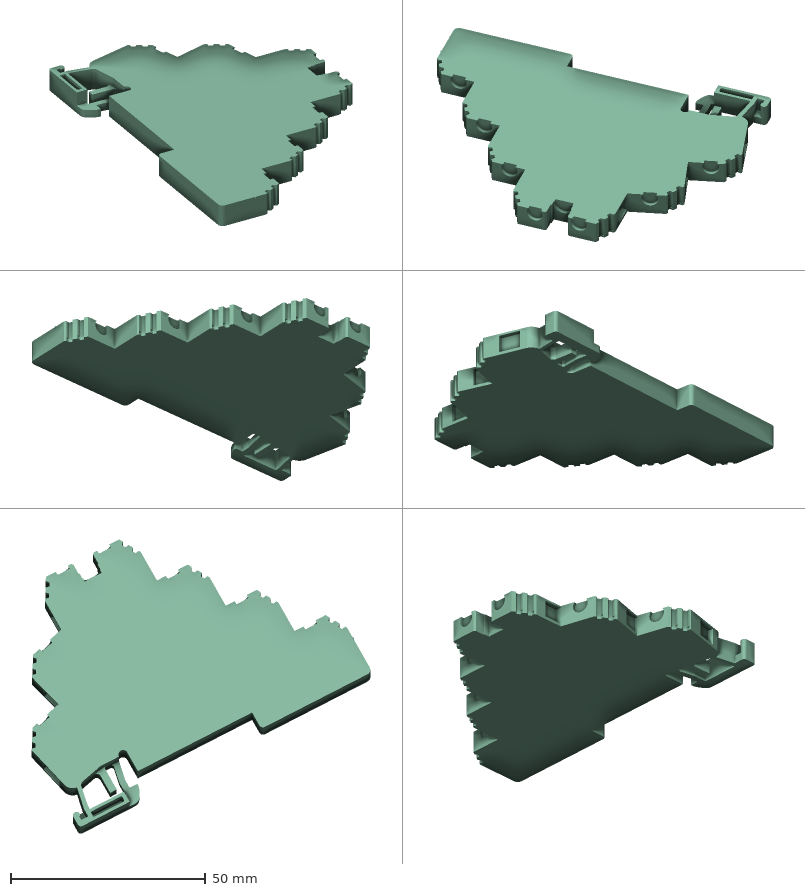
import cadquery as cq
import math

THICKNESS = 6.0
HEIGHT = 63.9
CENTER_X = 36.2
TOWER_HALF_WIDTH = 14.0
STEP_RUN = 12.3
STEP_DROP = 14.4
STEP_COUNT = 3
RIGHT_WALL = CENTER_X + TOWER_HALF_WIDTH + STEP_RUN * STEP_COUNT

SLOPE_ANGLE = math.radians(60)
SLOPE_LENGTH = 6.6
SLOPE_FIRST_LAND = 1.1
TILTED_SLOPE_LENGTH = 6.1
UPPER_FIRST_LAND = 0.6
LOWER_FIRST_LAND = 0.9
NOTCH_COUNT = 2
NOTCH_PITCH = 3.1
NOTCH_MOUTH = 1.75
NOTCH_FLOOR = 1.05
NOTCH_DEPTH = 1.0
UNDERCUT_BOTTOM = 0.5
UNDERCUT_HEIGHT = 0.6

TILT = math.radians(15)
UPPER_TOP_LENGTH = 10.1
UPPER_WALL_LENGTH = 9.9
BODY_LOW_CORNER = (3.0, 11.9)
BODY_LOW_ROUNDING = (3.85, 10.6)

PRONG_SLOT_HALF_TOP = 2.9
PRONG_SLOT_HALF_BOTTOM = 2.6
PRONG_SLOT_STEP_Y = 60.55
PRONG_SLOT_FLOOR_Y = 59.0
PRONG_CHAMFER = 0.4

BASE_Y = 1.3
BASE_LEFT = 54.8
BASE_RIGHT_RADIUS = 1.4
BASE_LEFT_RADIUS = 1.05
RAIL_Y = 6.3
RELIEF_LEFT = 19.0
RELIEF_RIGHT = 21.35
RELIEF_RADIUS = (RELIEF_RIGHT - RELIEF_LEFT) / 2
RELIEF_TOP = 13.3
CLIP_ROOF_Y = 12.1
CLIP_ROOF_LEFT = 13.6
NUB_Y = 11.7
NUB_RADIUS = 0.3
NUB_HEIGHT = 0.5

FOOT_LEFT = 0.9
FOOT_TOP = 4.2
FOOT_BEAM_TOP = 3.15
FOOT_RADIUS = 0.9
FOOT_STEP_X = 15.6
LOW_HEIGHT = 2.2
LEG_LEFT = 4.4
LEG_RIGHT = 5.6
LEG_ROOT_LEFT = 5.5
LEG_ROOT_RIGHT = 6.65
LEG_ROOT_Y = 9.9
LEG_ROOT_BEVEL = (7.2, 10.5)
CATCH_LEFT = 2.3
CATCH_RIGHT = 4.3
CATCH_BOTTOM = 1.6
CATCH_LIP_START = 1.9
CATCH_LIP_TIP = (2.6, 3.7)
CATCH_LIP_END_Y = 2.6
HOOK_TOE_X = 17.2
HOOK_TOE_ARC = (18.0, 0.2)
HOOK_KNEE = (18.6, 0.6)
HOOK_BACK_ARC = (19.5, 1.9)
HOOK_RIGHT = 20.2
HOOK_SIDE_Y = 3.7
HOOK_TOP = 4.5
SPRING_LEFT = 16.3
SPRING_RIGHT = 17.9
SPRING_BEND_Y = 6.8
SPRING_ROOT_X = 16.8
SPRING_ROOT_BEVEL = (17.15, 11.55)
POST_HEIGHT = 3.5
POST_LEFT = 12.7
POST_RIGHT = 14.6
POST_BOTTOM = 5.25
POST_FILLET = 0.6
POST_ROOT = (11.55, 11.6)
POST_FLARE_Y = 10.5
POST_FLARE_RADIUS = 1.3
FOOT_SLOT_LEFT = 5.4
FOOT_SLOT_RIGHT = 14.5
FOOT_SLOT_BOTTOM = 0.8
FOOT_SLOT_TOP = 2.4
FOOT_SLOT_RADIUS = 0.4

SCREW_RADIUS = 2.2
SCREW_CENTER_Z = 4.7
SCREW_DEPTH = 1.0
SCREW_FROM_WALL = 8.0
TILTED_SCREW_FROM_CORNER = 5.9
SLOT_RECESS_RADIUS = 2.5
SLOT_RECESS_CENTER_Z = 5.4
POCKET_BOTTOM = 0.8
POCKET_HEIGHT = 4.7
POCKET_LENGTH = 5.4
LOWER_POCKET_LENGTH = 6.1
POCKET_DEPTH = 1.5
POCKET_DROP = 3.2
TILTED_POCKET_DROP = 4.55
UPPER_POCKET_FLOOR_X = 12.7


def moved(point, angle, distance):
    """Point reached from another one along a direction in the XY plane."""
    return (point[0] + distance * math.cos(angle), point[1] + distance * math.sin(angle))


def slope_point(start, side, along, depth):
    """Point on a slope falling to the left (side -1) or to the right (side 1)."""
    run = along * math.cos(SLOPE_ANGLE) - depth * math.sin(SLOPE_ANGLE)
    drop = along * math.sin(SLOPE_ANGLE) + depth * math.cos(SLOPE_ANGLE)
    return (start[0] + side * run, start[1] - drop)


def toothed_slope(start, side, first_land, length):
    """Outline points of a slope with its notches, from the top down."""
    points = [start]
    inset = (NOTCH_MOUTH - NOTCH_FLOOR) / 2
    for i in range(NOTCH_COUNT):
        near = first_land + i * NOTCH_PITCH
        far = near + NOTCH_MOUTH
        points.append(slope_point(start, side, near, 0))
        points.append(slope_point(start, side, near + inset, NOTCH_DEPTH))
        points.append(slope_point(start, side, far - inset, NOTCH_DEPTH))
        points.append(slope_point(start, side, far, 0))
    points.append(slope_point(start, side, length, 0))
    return points


def prism(points, height, bottom):
    return cq.Workplane("XY").workplane(offset=bottom).polyline(points).close().extrude(height)


def box(x0, x1, y0, y1, z0, z1):
    return cq.Workplane("XY").box(x1 - x0, y1 - y0, z1 - z0, centered=False).translate((x0, y0, z0))


slope_run = SLOPE_LENGTH * math.cos(SLOPE_ANGLE)
left_slope = (
    (CENTER_X - TOWER_HALF_WIDTH + slope_run, HEIGHT), -1, SLOPE_FIRST_LAND, SLOPE_LENGTH)
right_slopes = []
for step in range(STEP_COUNT + 1):
    wall_x = CENTER_X + TOWER_HALF_WIDTH + step * STEP_RUN
    slope_start = (wall_x - slope_run, HEIGHT - step * STEP_DROP)
    right_slopes.append((slope_start, 1, SLOPE_FIRST_LAND, SLOPE_LENGTH))

upper_corner = (CENTER_X - TOWER_HALF_WIDTH, HEIGHT - STEP_DROP)
upper_start = moved(upper_corner, math.pi + TILT, UPPER_TOP_LENGTH)
upper_end = slope_point(upper_start, -1, TILTED_SLOPE_LENGTH, 0)

lower_corner = moved(upper_end, TILT - math.pi / 2, UPPER_WALL_LENGTH)
lower_start_x = TILTED_SLOPE_LENGTH * math.cos(SLOPE_ANGLE)
lower_top_length = (lower_corner[0] - lower_start_x) / math.cos(TILT)
lower_start = moved(lower_corner, math.pi + TILT, lower_top_length)
lower_end = slope_point(lower_start, -1, TILTED_SLOPE_LENGTH, 0)
lower_wall_tilt = math.atan2(BODY_LOW_CORNER[0] - lower_end[0], lower_end[1] - BODY_LOW_CORNER[1])

tilted_corners = [upper_corner, lower_corner]
tilted_slopes = [
    (upper_start, -1, UPPER_FIRST_LAND, TILTED_SLOPE_LENGTH),
    (lower_start, -1, LOWER_FIRST_LAND, TILTED_SLOPE_LENGTH),
]


def make_body():
    left = []
    for tier_corner, slope in zip(tilted_corners, tilted_slopes):
        left.append(tier_corner)
        left += toothed_slope(*slope)
    tower_left = toothed_slope(*left_slope)
    outline = left[::-1] + tower_left[::-1]

    left_half = [
        (PRONG_SLOT_HALF_TOP + PRONG_CHAMFER, HEIGHT),
        (PRONG_SLOT_HALF_TOP, HEIGHT - PRONG_CHAMFER),
        (PRONG_SLOT_HALF_TOP, PRONG_SLOT_STEP_Y),
        (PRONG_SLOT_HALF_BOTTOM, PRONG_SLOT_STEP_Y),
        (PRONG_SLOT_HALF_BOTTOM, PRONG_SLOT_FLOOR_Y),
    ]
    outline += [(CENTER_X - x, y) for x, y in left_half]
    outline += [(CENTER_X + x, y) for x, y in left_half[::-1]]

    for start, side, land, length in right_slopes:
        if start[1] < HEIGHT:
            outline.append((start[0] + slope_run - STEP_RUN, start[1]))
        outline += toothed_slope(start, side, land, length)

    return (
        cq.Workplane("XY").polyline(outline)
        .lineTo(RIGHT_WALL, BASE_Y + BASE_RIGHT_RADIUS)
        .radiusArc((RIGHT_WALL - BASE_RIGHT_RADIUS, BASE_Y), BASE_RIGHT_RADIUS)
        .lineTo(BASE_LEFT + BASE_LEFT_RADIUS, BASE_Y)
        .radiusArc((BASE_LEFT, BASE_Y + BASE_LEFT_RADIUS), BASE_LEFT_RADIUS)
        .lineTo(BASE_LEFT, RAIL_Y)
        .lineTo(RELIEF_RIGHT, RAIL_Y)
        .lineTo(RELIEF_RIGHT, RELIEF_TOP - RELIEF_RADIUS)
        .threePointArc(((RELIEF_LEFT + RELIEF_RIGHT) / 2, RELIEF_TOP),
                       (RELIEF_LEFT, RELIEF_TOP - RELIEF_RADIUS))
        .lineTo(RELIEF_LEFT, CLIP_ROOF_Y)
        .lineTo(CLIP_ROOF_LEFT, CLIP_ROOF_Y)
        .lineTo(*LEG_ROOT_BEVEL)
        .lineTo(LEG_ROOT_RIGHT, LEG_ROOT_Y)
        .lineTo(LEG_ROOT_LEFT, LEG_ROOT_Y)
        .threePointArc(BODY_LOW_ROUNDING, BODY_LOW_CORNER)
        .close().extrude(THICKNESS)
    )


def make_undercuts():
    """Pockets that square off the lower flank of each notch over a short height."""
    cuts = []
    inset = (NOTCH_MOUTH - NOTCH_FLOOR) / 2
    for start, side, land, _ in [left_slope] + right_slopes + tilted_slopes:
        for i in range(NOTCH_COUNT):
            far = land + i * NOTCH_PITCH + NOTCH_MOUTH
            flank = [
                slope_point(start, side, far, 0),
                slope_point(start, side, far, NOTCH_DEPTH),
                slope_point(start, side, far - inset, NOTCH_DEPTH),
            ]
            cuts.append(prism(flank, UNDERCUT_HEIGHT, UNDERCUT_BOTTOM))
    return cuts


def make_foot():
    beam = (
        cq.Workplane("XY").moveTo(FOOT_LEFT + FOOT_RADIUS, 0)
        .lineTo(FOOT_STEP_X, 0)
        .lineTo(FOOT_STEP_X, FOOT_BEAM_TOP)
        .lineTo(LEG_RIGHT, FOOT_BEAM_TOP)
        .lineTo(LEG_RIGHT, FOOT_TOP)
        .lineTo(LEG_ROOT_RIGHT, LEG_ROOT_Y)
        .lineTo(LEG_ROOT_LEFT, LEG_ROOT_Y)
        .lineTo(LEG_LEFT, FOOT_TOP)
        .lineTo(FOOT_LEFT + FOOT_RADIUS, FOOT_TOP)
        .radiusArc((FOOT_LEFT, FOOT_TOP - FOOT_RADIUS), -FOOT_RADIUS)
        .lineTo(FOOT_LEFT, FOOT_RADIUS)
        .radiusArc((FOOT_LEFT + FOOT_RADIUS, 0), -FOOT_RADIUS)
        .close().extrude(THICKNESS)
    )
    catch = (
        cq.Workplane("XY").workplane(offset=LOW_HEIGHT).moveTo(CATCH_LEFT, CATCH_BOTTOM)
        .lineTo(CATCH_RIGHT, CATCH_BOTTOM)
        .lineTo(CATCH_RIGHT, FOOT_TOP)
        .lineTo(CATCH_LIP_START, FOOT_TOP)
        .threePointArc(CATCH_LIP_TIP, (CATCH_LEFT, CATCH_LIP_END_Y))
        .close().extrude(THICKNESS - LOW_HEIGHT)
    )
    slot = box(FOOT_SLOT_LEFT, FOOT_SLOT_RIGHT, FOOT_SLOT_BOTTOM, FOOT_SLOT_TOP, LOW_HEIGHT, THICKNESS)
    slot = slot.edges("|Z and >X").fillet(FOOT_SLOT_RADIUS)
    return beam.cut(catch).cut(slot)


def make_hook():
    """Low springy leg with the hook at the end of the foot."""
    return (
        cq.Workplane("XY").moveTo(FOOT_STEP_X, 0)
        .lineTo(HOOK_TOE_X, 0)
        .threePointArc(HOOK_TOE_ARC, HOOK_KNEE)
        .threePointArc(HOOK_BACK_ARC, (HOOK_RIGHT, HOOK_SIDE_Y))
        .lineTo(HOOK_RIGHT, HOOK_TOP)
        .lineTo(SPRING_RIGHT, HOOK_TOP)
        .lineTo(SPRING_RIGHT, SPRING_BEND_Y)
        .lineTo(RELIEF_LEFT, CLIP_ROOF_Y)
        .lineTo(SPRING_ROOT_X, CLIP_ROOF_Y)
        .lineTo(*SPRING_ROOT_BEVEL)
        .lineTo(SPRING_LEFT, SPRING_BEND_Y)
        .lineTo(SPRING_LEFT, FOOT_BEAM_TOP)
        .lineTo(FOOT_STEP_X, FOOT_BEAM_TOP)
        .close().extrude(LOW_HEIGHT)
    )


def make_post():
    return (
        cq.Workplane("XY").moveTo(POST_LEFT, POST_BOTTOM)
        .lineTo(POST_RIGHT, POST_BOTTOM)
        .lineTo(POST_RIGHT, CLIP_ROOF_Y - POST_FILLET)
        .radiusArc((POST_RIGHT + POST_FILLET, CLIP_ROOF_Y), POST_FILLET)
        .lineTo(CLIP_ROOF_LEFT, CLIP_ROOF_Y)
        .lineTo(*POST_ROOT)
        .radiusArc((POST_LEFT, POST_FLARE_Y), POST_FLARE_RADIUS)
        .close().extrude(POST_HEIGHT)
    )


def screw_recess(point, tilt, radius, center_z):
    """Round recess sunk into a tread whose surface is turned by the tilt angle."""
    inward = (math.sin(tilt), -math.cos(tilt), 0)
    plane = cq.Plane(origin=(point[0], point[1], center_z), xDir=(0, 0, 1), normal=inward)
    return cq.Workplane(plane).circle(radius).extrude(SCREW_DEPTH)


def wire_pocket(slope_end, tilt, drop, length):
    """Rectangular pocket in the wall below a slope on the left side."""
    middle = moved(slope_end, tilt - math.pi / 2, drop + length / 2)
    origin = (middle[0], middle[1], POCKET_BOTTOM + POCKET_HEIGHT / 2)
    inward = (math.cos(tilt), math.sin(tilt), 0)
    plane = cq.Plane(origin=origin, xDir=(0, 0, 1), normal=inward)
    return cq.Workplane(plane).rect(POCKET_HEIGHT, length).extrude(POCKET_DEPTH)


nub_plane = cq.Workplane("XY").workplane(offset=THICKNESS - NUB_HEIGHT)
nub = nub_plane.center(RIGHT_WALL, NUB_Y).circle(NUB_RADIUS).extrude(NUB_HEIGHT)
result = make_body().union(nub).union(make_foot()).union(make_hook()).union(make_post())

for undercut in make_undercuts():
    result = result.cut(undercut)

screw_points = [(CENTER_X - TOWER_HALF_WIDTH + SCREW_FROM_WALL, HEIGHT)]
for start, *_ in right_slopes:
    screw_points.append((start[0] + slope_run - SCREW_FROM_WALL, start[1]))
for point in screw_points:
    result = result.cut(screw_recess(point, 0, SCREW_RADIUS, SCREW_CENTER_Z))
for tier_corner in tilted_corners:
    point = moved(tier_corner, math.pi + TILT, TILTED_SCREW_FROM_CORNER)
    result = result.cut(screw_recess(point, TILT, SCREW_RADIUS, SCREW_CENTER_Z))
slot_floor = (CENTER_X, PRONG_SLOT_FLOOR_Y)
result = result.cut(screw_recess(slot_floor, 0, SLOT_RECESS_RADIUS, SLOT_RECESS_CENTER_Z))

tower_end = slope_point(left_slope[0], -1, SLOPE_LENGTH, 0)
result = result.cut(wire_pocket(tower_end, 0, POCKET_DROP, POCKET_LENGTH))
upper_pocket = wire_pocket(upper_end, TILT, TILTED_POCKET_DROP, POCKET_LENGTH)
result = result.cut(upper_pocket.intersect(box(0, UPPER_POCKET_FLOOR_X, 0, HEIGHT, 0, THICKNESS)))
result = result.cut(wire_pocket(lower_end, lower_wall_tilt, TILTED_POCKET_DROP, LOWER_POCKET_LENGTH))